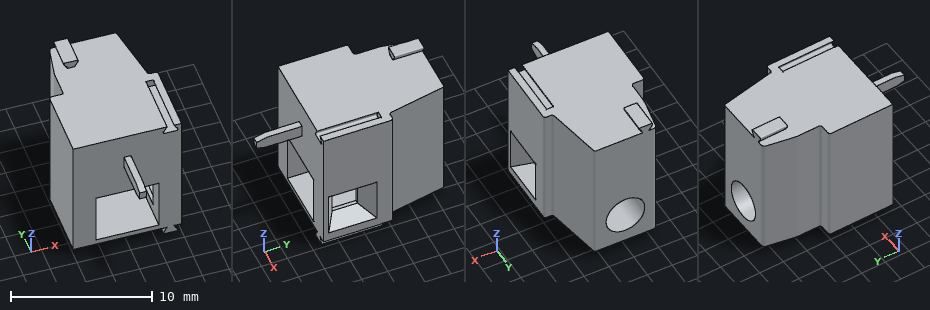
import cadquery as cq

width = 8.1
depth = 10.0
height = 10.17

shoulder_depth = 5.4
neck_left = 1.08
left_taper_start = 7.42
back_left = 1.54
back_right = 6.53
neck_right = 7.4
shoulder_radius = 0.19
back_left_radius = 0.32
back_right_radius = 0.18

pocket_width = 4.67
pocket_height = 4.21
pocket_depth = 5.4
entry_height = 2.55
hole_diameter = 3.1

window_front = 1.3
window_length = 1.96
window_sill = 0.82
window_height = pocket_height - 2 * window_sill
window_straight = 0.28
window_flare = 0.53
window_end_flare = 0.88

dovetail_height = 0.6
dovetail_neck = 0.53
dovetail_base = 1.23
dovetail_radius = 0.1
back_rib_x = 2.4
back_rib_length = 2.3
front_dovetail_x = 7.26
front_dovetail_length = 4.72

pin_width = 0.51
pin_height = 0.99
pin_length = 3.5
pin_top = height - 2.04
pin_top_taper = 0.81
pin_top_drop = 0.22
pin_bottom_taper = 0.68
pin_bottom_rise = 0.18


def fillet_at(body, x, y, radius):
    """Round the vertical edge nearest to the point (x, y)."""
    edge = cq.selectors.NearestToPointSelector((x, y, height / 2))
    return body.edges("|Z").edges(edge).fillet(radius)


def housing():
    body = (
        cq.Workplane("XY")
        .polyline([
            (0, 0),
            (width, 0),
            (width, shoulder_depth),
            (neck_right, shoulder_depth),
            (back_right, depth),
            (back_left, depth),
            (neck_left, left_taper_start),
            (neck_left, shoulder_depth),
            (0, shoulder_depth),
        ])
        .close()
        .extrude(height)
    )
    for x in (0, neck_left, neck_right, width):
        body = fillet_at(body, x, shoulder_depth, shoulder_radius)
    body = fillet_at(body, back_left, depth, back_left_radius)
    return fillet_at(body, back_right, depth, back_right_radius)


def dovetail(x, y_start, length, z, direction):
    """Bar along Y that widens away from its neck at z; direction is +1 up or -1 down."""
    z_base = z + direction * dovetail_height
    bar = (
        cq.Workplane("XZ", origin=(x, y_start, 0))
        .polyline([
            (-dovetail_neck / 2, z),
            (dovetail_neck / 2, z),
            (dovetail_base / 2, z_base),
            (-dovetail_base / 2, z_base),
        ])
        .close()
        .extrude(-length)
    )
    base_face = ">Z" if direction > 0 else "<Z"
    return bar.faces(base_face).edges("|Y").fillet(dovetail_radius)


def wire_entry():
    plane = cq.Workplane("XZ", origin=(width / 2, 0, entry_height))
    pocket = plane.rect(pocket_width, pocket_height).extrude(-pocket_depth)
    hole = plane.circle(hole_diameter / 2).extrude(-depth)
    return pocket.union(hole)


def window():
    inner_x = (width + pocket_width) / 2
    flare_x = inner_x + window_straight
    center_y = window_front + window_length / 2
    straight = (
        cq.Workplane("YZ", origin=(inner_x, center_y, entry_height))
        .rect(window_length, window_height)
        .extrude(window_straight)
    )
    flare = (
        cq.Workplane("YZ", origin=(flare_x, center_y, entry_height))
        .rect(window_length, window_height)
        .workplane(offset=width - flare_x)
        .rect(window_length + 2 * window_end_flare, window_height + 2 * window_flare)
        .loft(ruled=True)
    )
    return straight.union(flare)


def pin():
    pin_bottom = pin_top - pin_height
    return (
        cq.Workplane("YZ", origin=(width / 2, 0, 0))
        .polyline([
            (0, pin_bottom),
            (0, pin_top),
            (pin_top_taper - pin_length, pin_top),
            (-pin_length, pin_top - pin_top_drop),
            (-pin_length, pin_bottom + pin_bottom_rise),
            (pin_bottom_taper - pin_length, pin_bottom),
        ])
        .close()
        .extrude(pin_width / 2, both=True)
    )


back_rib = dovetail(back_rib_x, depth - back_rib_length, back_rib_length, height, 1)
front_rib = dovetail(front_dovetail_x, 0, front_dovetail_length, 0, -1)
front_groove = dovetail(front_dovetail_x, 0, front_dovetail_length, height, -1)

result = (
    housing()
    .cut(wire_entry())
    .cut(window())
    .cut(front_groove)
    .union(back_rib)
    .union(front_rib)
    .union(pin())
)